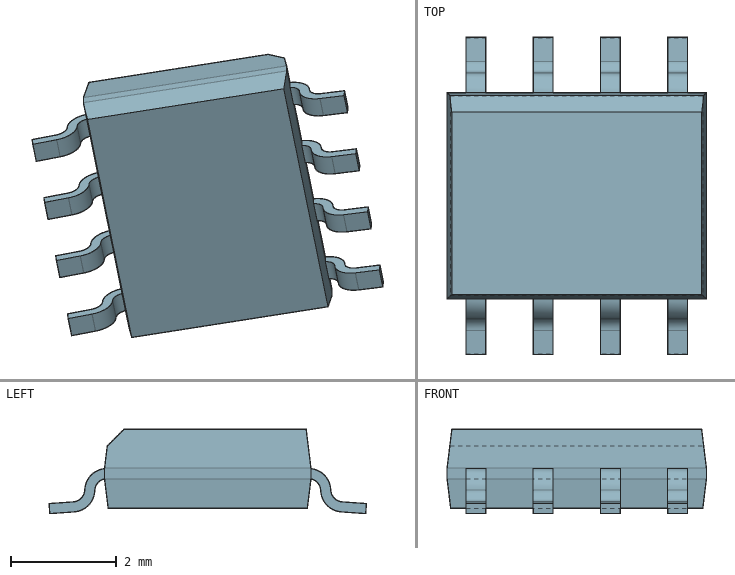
import cadquery as cq
import math

body_length = 4.904
body_width = 3.904
overall_height = 1.6
standoff = 0.1
draft_angle = 7.0
bevel_drop = 0.32

band_top = 0.86
band_height = 0.2

leads_per_side = 4
lead_pitch = 1.27
lead_width = 0.375
lead_thickness = 0.195
lead_span = 6.0
shoulder_turn = 88.0
foot_angle = 4.0
root_depth = 0.2
bend_inset = 0.05

band_bottom = band_top - band_height
lead_top = band_top - (band_height - lead_thickness) / 2
lead_bottom = lead_top - lead_thickness


def tapered_block(base_z, height):
    """Block on the body outline, narrowing away from base_z by the draft angle."""
    return (
        cq.Workplane("XY", origin=(0, 0, base_z))
        .rect(body_length, body_width)
        .extrude(height, taper=draft_angle)
    )


def make_body():
    """Drafted upper and lower halves joined by a straight band."""
    upper = tapered_block(band_top, overall_height - band_top)
    lower = tapered_block(band_bottom, standoff - band_bottom)
    band = (
        cq.Workplane("XY", origin=(0, 0, band_bottom))
        .rect(body_length, body_width)
        .extrude(band_height)
    )
    return band.union(upper).union(lower)


def bevel_cutter():
    """45 degree wedge that bevels the top edge on the +Y side."""
    bevel_bottom = overall_height - bevel_drop
    draft_inset = (bevel_bottom - band_top) * math.tan(math.radians(draft_angle))
    edge_y = body_width / 2 - draft_inset
    return (
        cq.Workplane("YZ")
        .moveTo(edge_y - bevel_drop, overall_height)
        .lineTo(edge_y + bevel_drop, overall_height)
        .lineTo(edge_y + bevel_drop, bevel_bottom)
        .lineTo(edge_y, bevel_bottom)
        .close()
        .extrude(body_length / 2, both=True)
    )


def on_circle(center, radius, degrees):
    """Point on a circle, measured anticlockwise from the +Y direction."""
    angle = math.radians(degrees)
    return (center[0] + radius * math.cos(angle), center[1] + radius * math.sin(angle))


def make_lead():
    """Gull-wing lead on the +Y side, centred on X = 0, lowest corner on Z = 0."""
    slope = math.radians(foot_angle)
    shoulder_y = body_width / 2 - bend_inset
    root_y = body_width / 2 - root_depth

    tip_top = (lead_span / 2, lead_thickness * math.cos(slope))
    tip_bottom = (tip_top[0] - lead_thickness * math.sin(slope), 0)

    joint_angle = 90 - shoulder_turn
    joint_y, joint_z = on_circle((0, 0), 1, joint_angle)

    drop = lead_bottom - tip_top[1] + lead_thickness * joint_z
    foot_drop = (tip_top[0] - shoulder_y - lead_thickness * joint_y) * math.tan(slope)
    bend_drop_per_radius = 1 + 1 / math.cos(slope) - 2 * joint_z - 2 * joint_y * math.tan(slope)
    inner_radius = (drop - foot_drop) / bend_drop_per_radius
    outer_radius = inner_radius + lead_thickness

    shoulder = (shoulder_y, lead_top - outer_radius)
    heel = on_circle(shoulder, outer_radius + inner_radius, joint_angle)
    shoulder_middle = (90 + joint_angle) / 2
    heel_start = 180 + joint_angle
    heel_end = 270 - foot_angle
    heel_middle = (heel_start + heel_end) / 2

    return (
        cq.Workplane("YZ")
        .moveTo(root_y, lead_top)
        .lineTo(shoulder_y, lead_top)
        .threePointArc(
            on_circle(shoulder, outer_radius, shoulder_middle),
            on_circle(shoulder, outer_radius, joint_angle),
        )
        .threePointArc(
            on_circle(heel, inner_radius, heel_middle),
            on_circle(heel, inner_radius, heel_end),
        )
        .lineTo(*tip_top)
        .lineTo(*tip_bottom)
        .lineTo(*on_circle(heel, outer_radius, heel_end))
        .threePointArc(
            on_circle(heel, outer_radius, heel_middle),
            on_circle(heel, outer_radius, heel_start),
        )
        .threePointArc(
            on_circle(shoulder, inner_radius, shoulder_middle),
            on_circle(shoulder, inner_radius, 90),
        )
        .lineTo(root_y, lead_bottom)
        .close()
        .extrude(lead_width / 2, both=True)
    )


result = make_body().cut(bevel_cutter())
far_lead = make_lead()
near_lead = far_lead.mirror("XZ")
for index in range(leads_per_side):
    lead_x = (index - (leads_per_side - 1) / 2) * lead_pitch
    for lead in (far_lead, near_lead):
        result = result.union(lead.translate((lead_x, 0, 0)))